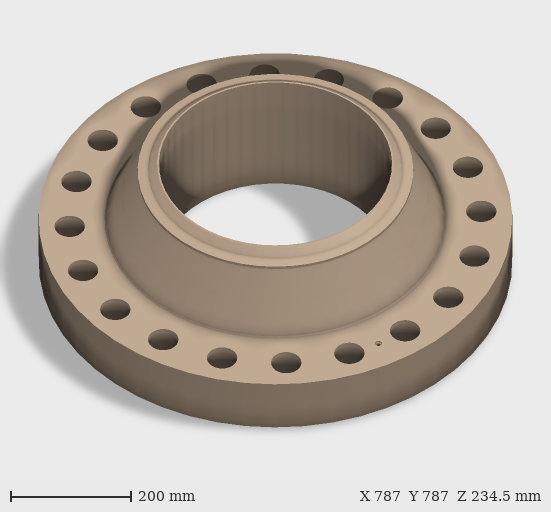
import cadquery as cq
import math

raised_face_height = 7.0
flange_thickness = 100.0
overall_height = 234.5
foot_height = 2.0
neck_top_height = 214.0
shoulder_height = 220.0
bevel_base_height = 222.0

flange_radius = 393.5
raised_face_radius = 267.0
foot_radius = 284.0
neck_base_radius = 282.0
neck_top_radius = 229.0
bevel_base_radius = 212.0
rim_radius = 197.0
bore_radius = 194.0

bolt_count = 20
bolt_circle_radius = 342.5
bolt_hole_diameter = 50.0
recess_diameter = 12.0
recess_depth = 2.0
small_hole_diameter = 6.0
small_hole_depth = 16.0
small_hole_angle = 360 / bolt_count / 2

flange_top = raised_face_height + flange_thickness


def turned_body():
    """Raised face, flange disc, tapered neck and bevelled rim, turned around the bore axis."""
    profile = [
        (bore_radius, 0),
        (raised_face_radius, 0),
        (raised_face_radius, raised_face_height),
        (flange_radius, raised_face_height),
        (flange_radius, flange_top),
        (foot_radius, flange_top),
        (neck_base_radius, flange_top + foot_height),
        (neck_top_radius, neck_top_height),
        (neck_top_radius, shoulder_height),
        (bevel_base_radius, bevel_base_height),
        (rim_radius, overall_height),
        (bore_radius, overall_height),
    ]
    return cq.Workplane("XZ").polyline(profile).close().revolve(360, (0, 0), (0, 1))


def bolt_holes():
    """Ring of through holes, the first one on the +X axis."""
    return (
        cq.Workplane("XY")
        .polarArray(bolt_circle_radius, 0, 360, bolt_count)
        .circle(bolt_hole_diameter / 2)
        .extrude(overall_height)
    )


def stepped_hole():
    """Small blind hole in the flange top with a shallow recess, midway between two bolt holes."""
    angle = math.radians(small_hole_angle)
    x = bolt_circle_radius * math.cos(angle)
    y = bolt_circle_radius * math.sin(angle)
    return (
        cq.Workplane("XY", origin=(x, y, flange_top))
        .circle(recess_diameter / 2)
        .extrude(-recess_depth)
        .faces("<Z")
        .workplane()
        .circle(small_hole_diameter / 2)
        .extrude(small_hole_depth)
    )


result = turned_body().cut(bolt_holes()).cut(stepped_hole())